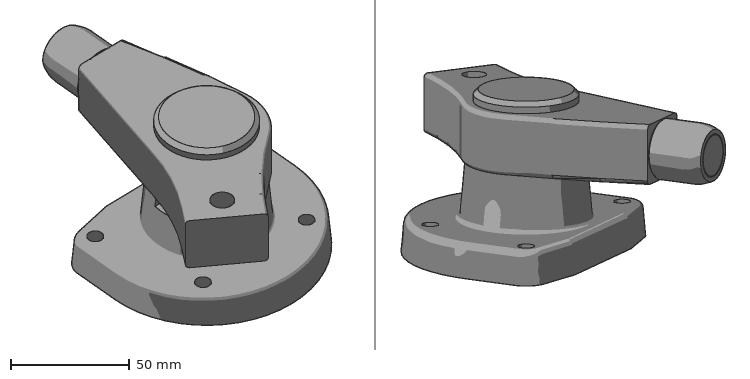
import cadquery as cq
import math

PLATE_RADIUS = 53.0
PLATE_HEIGHT = 15.0
PLATE_LEFT = -37.0
PLATE_LEFT_HALF_WIDTH = 25.1
PLATE_EDGE_ROUND = 3.0
DRAFT = 5.0
CORNER_RADIUS = 10.0
CORNER_X = -23.0
CORNER_Y = PLATE_RADIUS - CORNER_RADIUS
SCREW_HOLE_DIAMETER = 7.0
RIGHT_SCREW_OFFSET = 30.0

POST_FOOT_RADIUS = 28.1
POST_FOOT_FILLET = 2.0
SELECT_MARGIN = 0.1

NOTCH_FLOOR = 33.8
NOTCH_INNER_RADIUS = 18.9
NOTCH_LEFT = -3.9
NOTCH_CUT_WIDTH = 37.4

LEVER_BOTTOM = 39.8
LEVER_HEIGHT = 26.2
LEVER_TOP = LEVER_BOTTOM + LEVER_HEIGHT
LEVER_EDGE_ROUND = 2.0
LEVER_END_X = -65.4
LEVER_END_HALF_WIDTH = LEVER_HEIGHT / 2
HUB_RADIUS = 27.5
FLANK_BULGE = 1.2
HUB_START_ANGLE = 99.3
HUB_END_ANGLE = 36.0
ARM_ANGLE = -35.0
ARM_REACH = 60.5
ARM_FAR_OFFSET = 18.0
ARM_NEAR_OFFSET = -17.5
NEAR_BEND_X = -4.0
NEAR_BEND_Y = -27.7
NEAR_STRAIGHT = 11.1
ARM_HOLE_DIAMETER = 10.5
ARM_HOLE_X = 40.1
ARM_HOLE_Y = -28.3

CAP_RADIUS = 22.5
CAP_HEIGHT = 5.0
CAP_CHAMFER = 2.1

GRIP_TIP_X = -89.8
GRIP_LENGTH = LEVER_END_X - GRIP_TIP_X
GRIP_RADIUS = LEVER_HEIGHT / 2
GRIP_TIP_RADIUS = 11.2
GRIP_CROWN_LENGTH = 7.2
GRIP_INNER_CHAMFER = 0.7
GRIP_BORE_RADIUS = 9.3
PIN_RADIUS = 8.8
GRIP_AXIS_Z = LEVER_BOTTOM + LEVER_HEIGHT / 2


def polar(radius, angle):
    """Point at a radius and an angle in degrees from the post axis."""
    return (radius * math.cos(math.radians(angle)), radius * math.sin(math.radians(angle)))


def corner_tangent_point():
    """Point where the slanted edge of the plate touches its +Y corner arc."""
    dx = PLATE_LEFT - CORNER_X
    dy = PLATE_LEFT_HALF_WIDTH - CORNER_Y
    swing = math.degrees(math.acos(CORNER_RADIUS / math.hypot(dx, dy)))
    x, y = polar(CORNER_RADIUS, math.degrees(math.atan2(dy, dx)) - swing)
    return (CORNER_X + x, CORNER_Y + y)


def make_plate():
    tangent_x, tangent_y = corner_tangent_point()
    arc_angle = (90 + math.degrees(math.atan2(tangent_y - CORNER_Y, tangent_x - CORNER_X))) / 2
    mid_x, mid_y = polar(CORNER_RADIUS, arc_angle)
    mid_x += CORNER_X
    mid_y += CORNER_Y
    plate = (
        cq.Workplane("XY")
        .moveTo(CORNER_X, -PLATE_RADIUS)
        .lineTo(0, -PLATE_RADIUS)
        .threePointArc((PLATE_RADIUS, 0), (0, PLATE_RADIUS))
        .lineTo(CORNER_X, PLATE_RADIUS)
        .threePointArc((mid_x, mid_y), (tangent_x, tangent_y))
        .lineTo(PLATE_LEFT, PLATE_LEFT_HALF_WIDTH)
        .lineTo(PLATE_LEFT, -PLATE_LEFT_HALF_WIDTH)
        .lineTo(tangent_x, -tangent_y)
        .threePointArc((mid_x, -mid_y), (CORNER_X, -PLATE_RADIUS))
        .close()
        .extrude(PLATE_HEIGHT, taper=DRAFT)
        .faces(">Z")
        .edges()
        .fillet(PLATE_EDGE_ROUND)
    )
    screw_holes = [
        (CORNER_X, CORNER_Y),
        (CORNER_X, -CORNER_Y),
        (RIGHT_SCREW_OFFSET, RIGHT_SCREW_OFFSET),
        (RIGHT_SCREW_OFFSET, -RIGHT_SCREW_OFFSET),
    ]
    holes = (
        cq.Workplane("XY")
        .pushPoints(screw_holes)
        .circle(SCREW_HOLE_DIAMETER / 2)
        .extrude(PLATE_HEIGHT)
    )
    return plate.cut(holes)


def make_notch():
    """Block that clears the rim on the -Y side, less the round core it leaves standing."""
    floor = cq.Workplane("XY").workplane(offset=NOTCH_FLOOR)
    depth = LEVER_BOTTOM - NOTCH_FLOOR
    block = (
        floor.moveTo(NOTCH_LEFT, 0)
        .rect(NOTCH_CUT_WIDTH, -NOTCH_CUT_WIDTH, centered=False)
        .extrude(depth)
    )
    core = floor.circle(NOTCH_INNER_RADIUS).extrude(depth)
    return block.cut(core)


def make_base():
    post = (
        cq.Workplane("XY")
        .workplane(offset=PLATE_HEIGHT)
        .circle(POST_FOOT_RADIUS)
        .extrude(LEVER_BOTTOM - PLATE_HEIGHT, taper=DRAFT)
    )
    body = make_plate().union(post)
    foot_box = cq.selectors.BoxSelector(
        (-POST_FOOT_RADIUS, -POST_FOOT_RADIUS, PLATE_HEIGHT - SELECT_MARGIN),
        (POST_FOOT_RADIUS, POST_FOOT_RADIUS, PLATE_HEIGHT + SELECT_MARGIN),
    )
    body = body.edges(foot_box).fillet(POST_FOOT_FILLET)
    return body.cut(make_notch())


def arm_point(along, across):
    """Point in the arm's own frame: along the arm from the post axis, and to its left."""
    x, y = polar(along, ARM_ANGLE)
    side_x, side_y = polar(across, ARM_ANGLE + 90)
    return (x + side_x, y + side_y)


def make_lever():
    hub_start = polar(HUB_RADIUS, HUB_START_ANGLE)
    far_tip = arm_point(ARM_REACH, ARM_FAR_OFFSET)
    near_tip = arm_point(ARM_REACH, ARM_NEAR_OFFSET)
    near_bend_end = arm_point(ARM_REACH - NEAR_STRAIGHT, ARM_NEAR_OFFSET)
    lever = (
        cq.Workplane("XY")
        .workplane(offset=LEVER_BOTTOM)
        .moveTo(*near_tip)
        .lineTo(*near_bend_end)
        .tangentArcPoint((NEAR_BEND_X, NEAR_BEND_Y), relative=False)
        .lineTo(LEVER_END_X, -LEVER_END_HALF_WIDTH)
        .lineTo(LEVER_END_X, LEVER_END_HALF_WIDTH)
        .sagittaArc(hub_start, FLANK_BULGE)
        .threePointArc(
            polar(HUB_RADIUS, (HUB_START_ANGLE + HUB_END_ANGLE) / 2),
            polar(HUB_RADIUS, HUB_END_ANGLE),
        )
        .tangentArcPoint(far_tip, relative=False)
        .close()
        .extrude(LEVER_HEIGHT)
    )
    end_direction = cq.Vector(*polar(1, ARM_ANGLE), 0)
    ends = lever.faces("<X").edges("#Z").vals()
    ends += lever.faces(cq.selectors.DirectionMinMaxSelector(end_direction)).edges("#Z").vals()
    long_edges = [
        edge for edge in lever.faces("|Z").edges().vals() if not any(edge.isSame(end) for end in ends)
    ]
    lever = lever.newObject(long_edges).fillet(LEVER_EDGE_ROUND)
    hole = (
        cq.Workplane("XY")
        .workplane(offset=LEVER_BOTTOM)
        .center(ARM_HOLE_X, ARM_HOLE_Y)
        .circle(ARM_HOLE_DIAMETER / 2)
        .extrude(LEVER_HEIGHT)
    )
    return lever.cut(hole)


def make_cap():
    return (
        cq.Workplane("XY")
        .workplane(offset=LEVER_TOP)
        .circle(CAP_RADIUS)
        .extrude(CAP_HEIGHT)
        .faces(">Z")
        .edges()
        .chamfer(CAP_CHAMFER)
    )


def make_grip():
    """Crowned sleeve, turned about the grip axis."""
    crown_end_x = GRIP_TIP_X + GRIP_CROWN_LENGTH
    profile = (
        cq.Workplane("XY")
        .moveTo(LEVER_END_X, GRIP_BORE_RADIUS)
        .lineTo(LEVER_END_X, GRIP_RADIUS - GRIP_INNER_CHAMFER)
        .lineTo(LEVER_END_X - GRIP_INNER_CHAMFER, GRIP_RADIUS)
        .lineTo(crown_end_x, GRIP_RADIUS)
        .tangentArcPoint((GRIP_TIP_X, GRIP_TIP_RADIUS), relative=False)
        .lineTo(GRIP_TIP_X, GRIP_BORE_RADIUS)
        .close()
    )
    return profile.revolve(360, (0, 0, 0), (1, 0, 0)).translate((0, 0, GRIP_AXIS_Z))


def make_grip_pin():
    return (
        cq.Workplane("YZ")
        .workplane(offset=GRIP_TIP_X)
        .center(0, GRIP_AXIS_Z)
        .circle(PIN_RADIUS)
        .extrude(GRIP_LENGTH)
    )


base = make_base()
lever = make_lever()
cap = make_cap()
grip = make_grip()
grip_pin = make_grip_pin()

result = cq.Compound.makeCompound(
    [base.val(), lever.val(), cap.val(), grip.val(), grip_pin.val()]
)